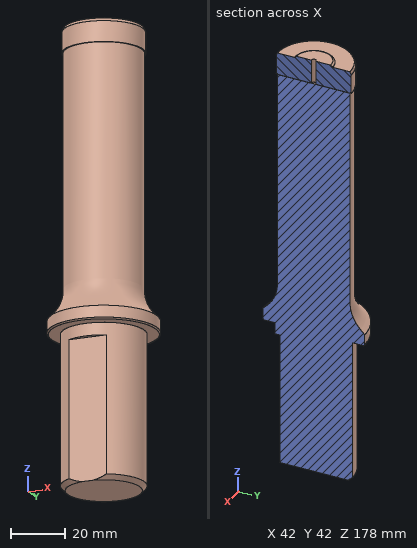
import cadquery as cq
import math

total_height = 178.0
head_bottom = 168.0
flare_top = 77.0
flange_bottom = 60.0

neck_radius = 30.0 / 2
flange_radius = 42.0 / 2
flange_chamfer = 0.5
shank_radius = 32.0 / 2
shank_chamfer = 1.8
flat_distance = 14.0
flat_top = 55.2

flare_radius = 14.6
flare_end_angle = math.radians(45)

head_radius = 31.0 / 2
head_edge_height = 1.2
head_edge_width = 0.5
boss_height = 0.7
boss_base_radius = 15.7 / 2
boss_top_radius = 14.0 / 2
center_hole_diameter = 1.8


def flare_point(angle):
    """Radius and height on the flare arc, at an angle below its upper end."""
    radius = neck_radius + flare_radius * (1 - math.cos(angle))
    height = flare_top - flare_radius * math.sin(angle)
    return radius, height


def cut_shank_flat(holder):
    """Mill the clamping flat, open at the bottom of the shank."""
    flat_depth = shank_radius - flat_distance
    cutter = cq.Workplane("XY").box(
        2 * shank_radius, flat_depth, flat_top, centered=(True, False, False)
    )
    return holder.cut(cutter.translate((0, -shank_radius, 0)))


def make_holder():
    """Shank, flange, flare and neck turned as one solid, with the flat cut."""
    cone_top_radius, cone_top = flare_point(flare_end_angle)
    cone_drop = (flange_radius - cone_top_radius) * math.tan(flare_end_angle)
    holder = (
        cq.Workplane("XZ")
        .moveTo(0, 0)
        .lineTo(shank_radius - shank_chamfer, 0)
        .lineTo(shank_radius, shank_chamfer)
        .lineTo(shank_radius, flange_bottom)
        .lineTo(flange_radius - flange_chamfer, flange_bottom)
        .lineTo(flange_radius, flange_bottom + flange_chamfer)
        .lineTo(flange_radius, cone_top - cone_drop)
        .lineTo(cone_top_radius, cone_top)
        .threePointArc(flare_point(flare_end_angle / 2), (neck_radius, flare_top))
        .lineTo(neck_radius, head_bottom)
        .lineTo(0, head_bottom)
        .close()
        .revolve(360, (0, 0, 0), (0, 1, 0))
    )
    return cut_shank_flat(holder)


def make_head():
    """Bevelled disc with a low tapered boss and a hole on the axis."""
    face_height = total_height - boss_height
    head = (
        cq.Workplane("XZ")
        .moveTo(0, head_bottom)
        .lineTo(head_radius, head_bottom)
        .lineTo(head_radius, face_height - head_edge_height)
        .lineTo(head_radius - head_edge_width, face_height)
        .lineTo(boss_base_radius, face_height)
        .lineTo(boss_top_radius, total_height)
        .lineTo(0, total_height)
        .close()
        .revolve(360, (0, 0, 0), (0, 1, 0))
    )
    return head.faces(">Z").workplane().hole(center_hole_diameter)


holder = make_holder()
head = make_head()

result = cq.Compound.makeCompound([holder.val(), head.val()])